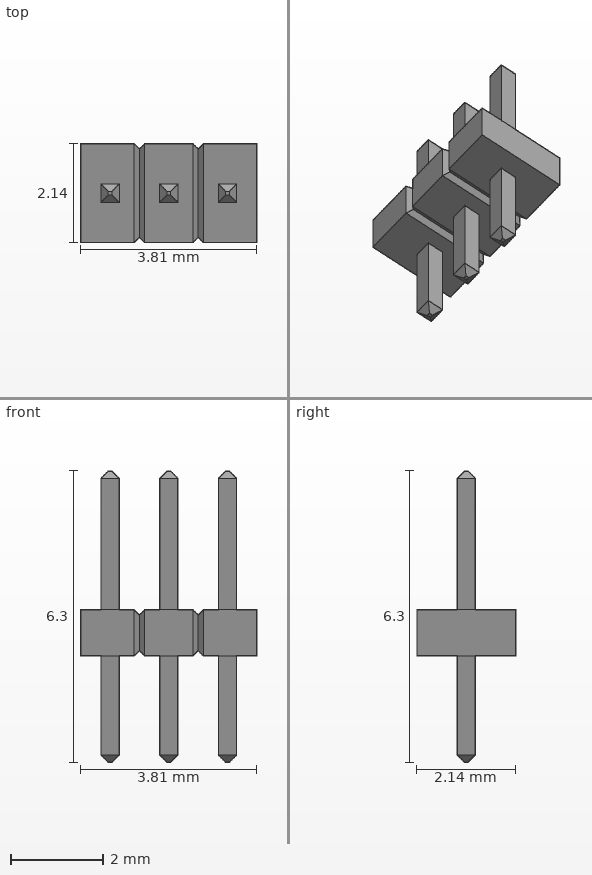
import cadquery as cq

pin_count = 3
housing_length = 3.81
housing_depth = 2.14
housing_height = 1.0
groove_depth = 0.115
pin_width = 0.4
pin_length = 6.3
pin_below_housing = 2.3
tip_chamfer = 0.16

pitch = housing_length / pin_count
pin_positions = [(i - (pin_count - 1) / 2) * pitch for i in range(pin_count)]
groove_positions = [x + pitch / 2 for x in pin_positions[:-1]]


def make_pin(x):
    """Square pin with both ends tapered to a small flat."""
    return (
        cq.Workplane("XY", origin=(x, 0, -pin_below_housing))
        .rect(pin_width, pin_width)
        .extrude(pin_length)
        .faces("<Z or >Z")
        .chamfer(tip_chamfer)
    )


def groove_profile(plane, x, surface, inward):
    """V-shaped outline that opens at a surface and points inward (+1 or -1)."""
    return (
        cq.Workplane(plane)
        .moveTo(x - groove_depth, surface)
        .lineTo(x, surface + inward * groove_depth)
        .lineTo(x + groove_depth, surface)
        .close()
    )


def cut_grooves(body, x):
    """Cut the V-groove that runs around all four long sides at x."""
    for surface, inward in ((0, 1), (housing_height, -1)):
        body = body.cut(groove_profile("XZ", x, surface, inward).extrude(housing_depth, both=True))
    for inward in (1, -1):
        surface = -inward * housing_depth / 2
        body = body.cut(groove_profile("XY", x, surface, inward).extrude(housing_height))
    return body


def make_housing():
    """Insulating block with grooves between segments and a square hole per pin."""
    body = cq.Workplane("XY").rect(housing_length, housing_depth).extrude(housing_height)
    for x in groove_positions:
        body = cut_grooves(body, x)
    pin_holes = (
        cq.Workplane("XY")
        .pushPoints([(x, 0) for x in pin_positions])
        .rect(pin_width, pin_width)
        .extrude(housing_height)
    )
    return body.cut(pin_holes)


housing = make_housing()
pins = [make_pin(x) for x in pin_positions]

result = cq.Compound.makeCompound([housing.solids().val(), *[pin.solids().val() for pin in pins]])